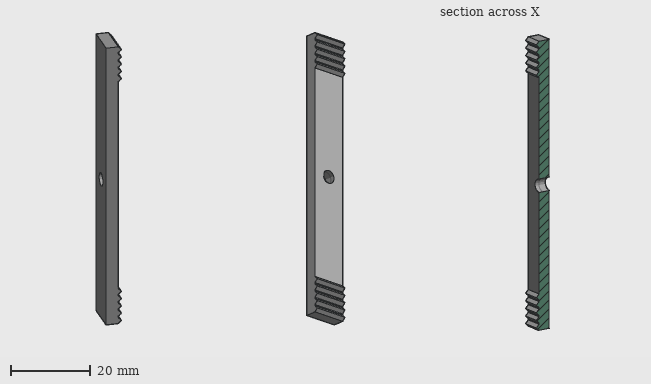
import cadquery as cq

length = 76.2
width = 9.4
depth = 4.05
hole_diameter = 3.4
tooth_height = 0.85
root_flat = 0.32
teeth_per_end = 5

tooth_base = 2 * tooth_height
tooth_pitch = tooth_base + root_flat
back_y = depth / 2 - tooth_height
front_y = -depth / 2
top_z = length / 2
toothed_length = teeth_per_end * tooth_pitch - root_flat


def tooth_row(start_z):
    """Points of one row of pointed teeth, going down from start_z."""
    points = []
    for index in range(teeth_per_end):
        tooth_top = start_z - index * tooth_pitch
        points.append((back_y, tooth_top))
        points.append((back_y + tooth_height, tooth_top - tooth_base / 2))
        points.append((back_y, tooth_top - tooth_base))
    return points


outline = [(front_y, -top_z), (front_y, top_z)]
outline += tooth_row(top_z)
outline += tooth_row(toothed_length - top_z)

bar = cq.Workplane("YZ").polyline(outline).close().extrude(width / 2, both=True)

hole = cq.Workplane("XZ").circle(hole_diameter / 2).extrude(depth, both=True)

result = bar.cut(hole)